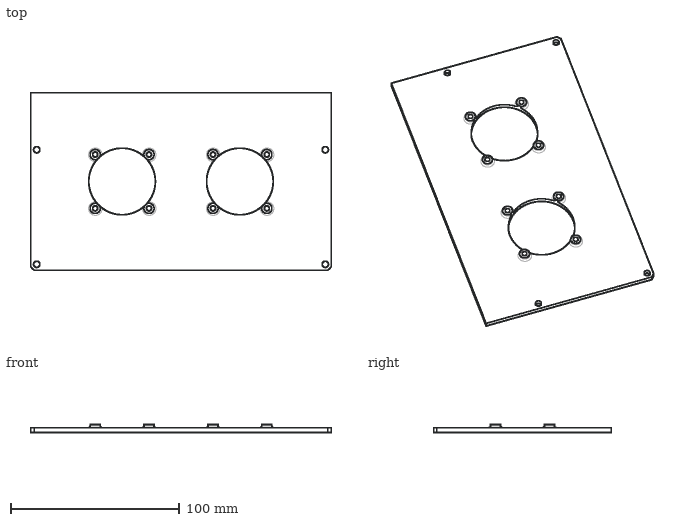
import cadquery as cq

length = 178.6
width = 105.5
thickness = 3.0
corner_chamfer = 2.0

mount_hole_diameter = 3.5
mount_edge_inset = 3.5
mount_row_spacing = 68.0

fan_spacing = 70.0
opening_diameter = 39.5
standoff_pitch = 32.0
standoff_diameter = 6.0
standoff_height = 2.0
standoff_hole_diameter = 2.9
fillet_radius = standoff_height / 2

total_height = thickness + standoff_height
mount_x = length / 2 - mount_edge_inset
front_row_y = -width / 2 + mount_edge_inset
mount_points = [
    (x, y)
    for x in (-mount_x, mount_x)
    for y in (front_row_y, front_row_y + mount_row_spacing)
]
fan_centers = [(-fan_spacing / 2, 0), (fan_spacing / 2, 0)]
standoff_points = [
    (fan_x + side_x * standoff_pitch / 2, fan_y + side_y * standoff_pitch / 2)
    for fan_x, fan_y in fan_centers
    for side_x in (-1, 1)
    for side_y in (-1, 1)
]


def make_plate():
    """Flat plate with its two front corners cut off."""
    plate = cq.Workplane("XY").box(length, width, thickness, centered=(True, True, False))
    return plate.edges("|Z and <Y").chamfer(corner_chamfer)


def make_standoff():
    """Round standoff that flares into the plate through a concave fillet."""
    radius = standoff_diameter / 2
    flare_radius = radius + fillet_radius
    arc_offset = fillet_radius * (1 - 0.5**0.5)
    profile = (
        cq.Workplane("XZ")
        .lineTo(flare_radius, 0)
        .lineTo(flare_radius, thickness)
        .threePointArc(
            (radius + arc_offset, thickness + arc_offset),
            (radius, thickness + fillet_radius),
        )
        .lineTo(radius, total_height)
        .lineTo(0, total_height)
        .close()
    )
    return profile.revolve(360, (0, 0, 0), (0, 1, 0))


def make_hole_cutters(points, diameter):
    """Cylinders through the plate and standoffs at the given points."""
    return cq.Workplane("XY").pushPoints(points).circle(diameter / 2).extrude(total_height)


result = make_plate()
standoff = make_standoff()
for x, y in standoff_points:
    result = result.union(standoff.translate((x, y, 0)))

result = result.cut(make_hole_cutters(fan_centers, opening_diameter))
result = result.cut(make_hole_cutters(standoff_points, standoff_hole_diameter))
result = result.cut(make_hole_cutters(mount_points, mount_hole_diameter))